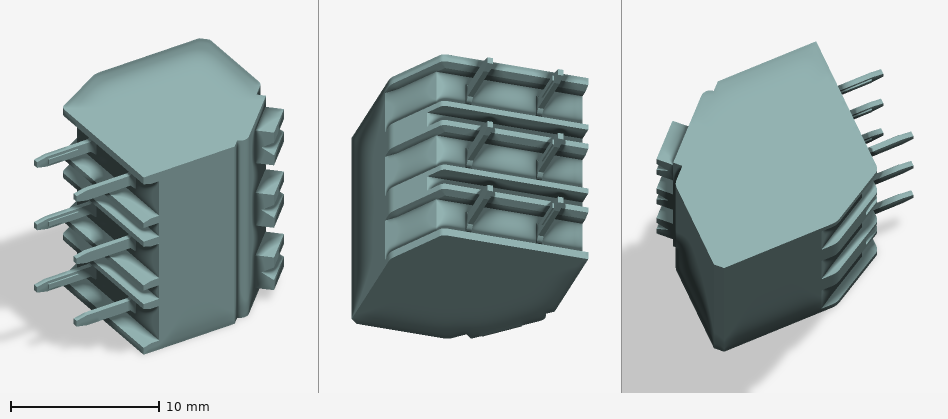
import cadquery as cq
import math


width = 12.7
depth = 12.96
height = 14.2
pitch = 5.0
pole_count = 3
corner_chamfer = 0.52
right_wall_top = 7.26
slope_top = 4.13
slope_angle = math.radians(60)
slope_top_radius = 1.2
slope_foot_radius = 0.5
shoulder_radius = 0.7

ledge_rise = 0.66
ledge_start_x = 8.0
ledge_end_x = 11.7

recess_width = 2.76
recess_mouth_width = 3.1
floor_y = 1.24
floor_slope_top = 5.27
mouth_bevel_depth = 0.6
slot_width = 1.1

button_gap = 0.16
button_length = 3.02
button_rise = 1.275
button_width = 2.62
groove_width = 1.02
groove_half_angle = math.radians(30)

first_pin_x = 4.6
pin_spacing = 5.0
pin_thickness = 0.38
pin_width = 0.8
pin_length = 3.5
pin_tip_width = 0.45
pin_tip_length = 0.83
pin_shoulder_width = 1.52
pin_shoulder_y = 0.79
pin_root = 0.5
bead_thickness = 0.11
bead_width = 0.38
bead_top = -0.26
bead_bottom = -2.62

diagonal = math.sqrt(0.5)
diagonal_sum = width + right_wall_top
ledge_step = ledge_rise * diagonal
ledge_start_y = diagonal_sum - ledge_start_x
ledge_end_y = diagonal_sum - ledge_end_x
slope_foot_x = slope_top / math.tan(slope_angle)
margin = 2.0
pole_heights = [(i - (pole_count - 1) / 2) * pitch for i in range(pole_count)]


def centred_prism(outline, thickness):
    """Extrude an XY outline by the same distance above and below Z = 0."""
    return outline.extrude(thickness / 2, both=True)


def round_upright_edge(solid, x, y, radius):
    """Round the edge parallel to Z nearest to the given XY place."""
    return solid.edges(cq.selectors.NearestToPointSelector((x, y, 0))).fillet(radius)


def make_housing():
    outline = (
        cq.Workplane("XY")
        .moveTo(slope_foot_x, 0)
        .lineTo(width, 0)
        .lineTo(width, right_wall_top)
        .lineTo(ledge_end_x + ledge_step, ledge_end_y - ledge_step)
        .threePointArc(
            (ledge_end_x + ledge_rise, ledge_end_y),
            (ledge_end_x + ledge_step, ledge_end_y + ledge_step),
        )
        .lineTo(ledge_start_x + ledge_step, ledge_start_y + ledge_step)
        .lineTo(ledge_start_x, ledge_start_y)
        .lineTo(diagonal_sum - depth, depth)
        .lineTo(corner_chamfer, depth)
        .lineTo(0, depth - corner_chamfer)
        .lineTo(0, slope_top)
        .close()
    )
    housing = centred_prism(outline, height)
    housing = round_upright_edge(housing, diagonal_sum - depth, depth, shoulder_radius)
    housing = round_upright_edge(housing, 0, slope_top, slope_top_radius)
    return round_upright_edge(housing, slope_foot_x, 0, slope_foot_radius)


def make_bevelled_core():
    """Material kept at the recess mouth: two blocks whose outline draws in towards the pole centre."""
    block = centred_prism(
        cq.Workplane("XY").polyline([
            (slope_foot_x, 0),
            (width + margin, 0),
            (width + margin, depth + margin),
            (0, depth + margin),
            (0, slope_top),
        ]).close(),
        recess_mouth_width,
    )
    block = round_upright_edge(block, 0, slope_top, slope_top_radius)
    block = round_upright_edge(block, slope_foot_x, 0, slope_foot_radius)
    bevel_height = (recess_mouth_width - recess_width) / 2
    taper = math.degrees(math.atan2(mouth_bevel_depth, bevel_height))
    lower_block = (
        cq.Workplane("XY", origin=(0, 0, -recess_mouth_width / 2))
        .add(block.faces("<Z").wires().vals())
        .toPending()
        .extrude(bevel_height, taper=taper)
    )
    return lower_block.union(lower_block.mirror("XY"))


def make_recess():
    """Cutter that lowers the slope and the underside across one pole, with a bevelled mouth."""
    floor_foot_x = (floor_slope_top - floor_y) / math.tan(slope_angle)
    region = centred_prism(
        cq.Workplane("XY").polyline([
            (-margin, -margin),
            (width + margin, -margin),
            (width + margin, floor_y),
            (floor_foot_x, floor_y),
            (0, floor_slope_top),
            (-margin, floor_slope_top),
        ]).close(),
        recess_mouth_width,
    )
    return region.cut(make_bevelled_core())


def make_slot():
    """Cutter for the slot that splits the rib between two poles."""
    return (
        cq.Workplane("XY")
        .box(width + 2 * margin, floor_y + margin, slot_width, centered=(False, False, True))
        .translate((-margin, -margin, 0))
    )


def make_button():
    """Button standing square on the ledge, with a V groove along its outer face."""
    along = cq.Vector(diagonal, -diagonal, 0)
    corner = cq.Vector(ledge_start_x + ledge_step, ledge_start_y + ledge_step, 0) + along * button_gap
    end_plane = cq.Plane(origin=corner.toTuple(), xDir=(0, 0, -1), normal=along.toTuple())
    groove_depth = groove_width / 2 / math.tan(groove_half_angle)
    half_width = button_width / 2
    return (
        cq.Workplane(end_plane)
        .polyline([
            (-half_width, 0),
            (half_width, 0),
            (half_width, button_rise),
            (groove_width / 2, button_rise),
            (0, button_rise - groove_depth),
            (-groove_width / 2, button_rise),
            (-half_width, button_rise),
        ])
        .close()
        .extrude(button_length)
    )


def make_pin(x, bead_side):
    """Flat solder pin centred on x, with a bead on its +X (1) or -X (-1) face."""
    shoulder_top = pin_shoulder_y + (pin_shoulder_width - pin_width) / 2
    upper_half = [
        (floor_y + pin_root, pin_shoulder_width / 2),
        (shoulder_top, pin_shoulder_width / 2),
        (pin_shoulder_y, pin_width / 2),
        (pin_tip_length - pin_length, pin_width / 2),
        (-pin_length, pin_tip_width / 2),
    ]
    lower_half = [(y, -z) for y, z in reversed(upper_half)]
    blade = (
        cq.Workplane("YZ", origin=(x, 0, 0))
        .polyline(upper_half + lower_half)
        .close()
        .extrude(pin_thickness / 2, both=True)
    )
    bead_reach = pin_thickness / 2 + bead_thickness
    bead = (
        cq.Workplane("XY")
        .box(bead_reach, bead_top - bead_bottom, bead_width)
        .translate((x + bead_side * bead_reach / 2, (bead_top + bead_bottom) / 2, 0))
    )
    return blade.union(bead)


recess = make_recess()
slot = make_slot()
button = make_button()
pins = make_pin(first_pin_x, 1).union(make_pin(first_pin_x + pin_spacing, -1))

result = make_housing()
for z in pole_heights:
    result = result.cut(recess.translate((0, 0, z)))
for z in pole_heights[:-1]:
    result = result.cut(slot.translate((0, 0, z + pitch / 2)))
for z in pole_heights:
    result = result.union(button.translate((0, 0, z)))
    result = result.union(pins.translate((0, 0, z)))